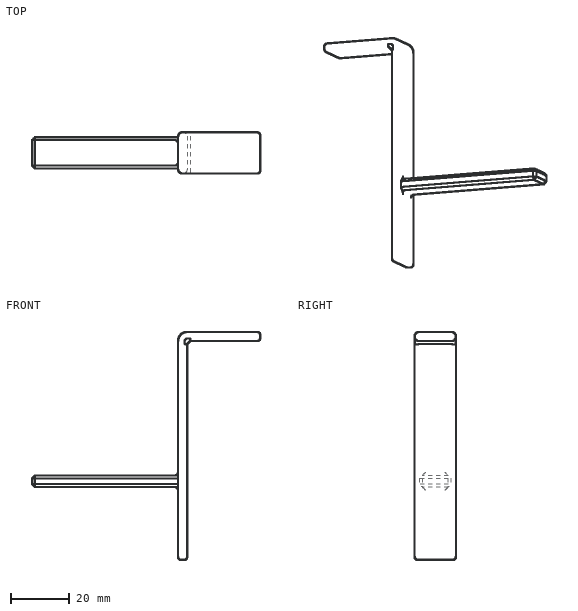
import cadquery as cq

overall_length = 78.3
overall_height = 78.3
strip_width = 14.25
strip_thickness = 3.2
end_fillet = 1.1

bar_reach = 50.05
bar_width = 10.8
bar_height = 4.0
bar_chamfer = 1.0
bar_middle_z = 27.0
root_fillet = 1.0

gusset_leg = 1.0
gusset_width = 13.95
gusset_depth = 1.6
gusset_length = 2.8
gusset_fillet = 0.95

corner_x = bar_reach + strip_thickness
corner_z = overall_height - strip_thickness
half_thickness = strip_thickness / 2
bar_overlap = half_thickness


def upright():
    """Vertical run with fully rounded sides and a softened lower end."""
    section = (
        cq.Workplane("XY")
        .center(corner_x - half_thickness, 0)
        .slot2D(strip_width, strip_thickness, 90)
    )
    return section.extrude(corner_z).faces("<Z").edges().fillet(end_fillet)


def arm():
    """Horizontal run along +X with fully rounded sides and a softened free end."""
    section = (
        cq.Workplane("YZ", origin=(corner_x, 0, corner_z + half_thickness))
        .slot2D(strip_width, strip_thickness)
    )
    return section.extrude(overall_length - corner_x).faces(">X").edges().fillet(end_fillet)


def bend():
    """Quarter turn of the strip about its inside corner."""
    section = (
        cq.Workplane("YZ", origin=(corner_x, 0, corner_z))
        .center(0, half_thickness)
        .slot2D(strip_width, strip_thickness)
    )
    return section.revolve(90, (0, -half_thickness), (-1, -half_thickness))


def gusset():
    """Block set at 45 degrees in the inside corner, with its outer long face rounded at both sides."""
    block = (
        cq.Workplane("XY")
        .box(gusset_depth, gusset_width, gusset_length, centered=(False, True, True))
        .translate((-gusset_depth, 0, 0))
        .edges(">X and |Z")
        .fillet(gusset_fillet)
    )
    block = block.rotate((0, 0, 0), (0, 1, 0), 45)
    return block.translate((corner_x + gusset_leg / 2, 0, corner_z - gusset_leg / 2))


def bar():
    """Straight bar, chamfered along its length and around its tip."""
    length = bar_reach + bar_overlap
    body = (
        cq.Workplane("XY")
        .box(length, bar_width, bar_height, centered=(False, True, True))
        .edges("not >X")
        .chamfer(bar_chamfer)
    )
    return body.translate((0, 0, bar_middle_z))


def root_fillets():
    """Concave fillets above and below the bar, narrowing away from it at 45 degrees."""
    reach = bar_height / 2 + root_fillet
    flare = (
        cq.Workplane("XZ", origin=(bar_reach, 0, bar_middle_z))
        .moveTo(0, -reach)
        .radiusArc((-root_fillet, -bar_height / 2), -root_fillet)
        .lineTo(-root_fillet, bar_height / 2)
        .radiusArc((0, reach), -root_fillet)
        .close()
        .extrude(bar_width / 2, both=True)
    )
    limits = (
        cq.Workplane("YZ", origin=(bar_reach - root_fillet, 0, bar_middle_z))
        .rect(bar_width, 2 * reach)
        .extrude(root_fillet)
        .edges("|X")
        .chamfer(bar_chamfer + root_fillet)
    )
    return flare.intersect(limits)


strip = upright().union(arm()).union(bend()).union(gusset())
result = strip.union(bar()).union(root_fillets())